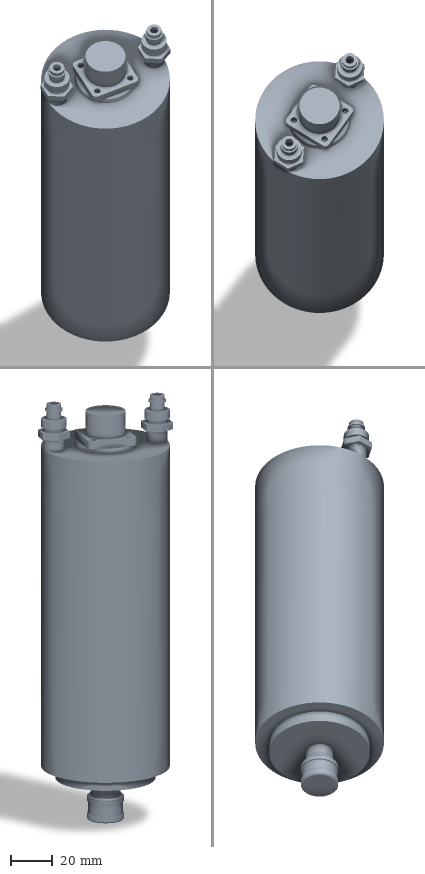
import cadquery as cq
import math

plate_bottom = 20.5
housing_bottom = 26.5
cap_bottom = 160.7
cap_top = 186.7
overall_height = 209.5

housing_diameter = 62.0
plate_diameter = 48.4

lower_stem_diameter = 13.2
lower_collar_diameter = 14.2
lower_rim_diameter = 18.0
lower_waist_diameter = 16.8
lower_collar_top = 14.2
lower_rim_top = 12.2
lower_waist_top = 9.5
lower_waist_bottom = 3.1
lower_rim_chamfer = 0.6

base_bottom_diameter = 30.0
base_top_diameter = 28.3
flange_width = 24.5
flange_corner_radius = 2.0
flange_bottom = 188.5
flange_top = 192.3
flange_hole_diameter = 3.1
flange_hole_spacing = 17.8
plug_diameter = 19.3
plug_top = 203.8

fitting_offset = 26.2
fitting_shaft_diameter = 9.8
fitting_collar_diameter = 12.2
fitting_tube_diameter = 7.1
tube_ring_diameter = 8.4
fitting_bore_diameter = 4.0
nut_across_flats = 13.6
washer_face_diameter = 10.3
washer_face_height = 0.5
nut_bottom = 192.7
nut_top = 196.0
fitting_collar_bottom = 198.0
fitting_collar_top = 202.2
tube_ring_bottom = 206.1
tube_ring_top = 207.2


def cylinder(diameter, bottom, top):
    """Upright cylinder on the Z axis between two levels."""
    return cq.Workplane("XY").workplane(offset=bottom).circle(diameter / 2).extrude(top - bottom)


def make_lower_connector():
    """Stem with a collar and a waisted round head pointing down."""
    stem = cylinder(lower_stem_diameter, lower_collar_top, plate_bottom)
    collar = cylinder(lower_collar_diameter, lower_rim_top, lower_collar_top)
    head = cylinder(lower_rim_diameter, 0, lower_rim_top).edges().chamfer(lower_rim_chamfer)
    waist_ring = cylinder(lower_rim_diameter, lower_waist_bottom, lower_waist_top).cut(
        cylinder(lower_waist_diameter, lower_waist_bottom, lower_waist_top)
    )
    return head.cut(waist_ring).union(collar).union(stem)


def make_upper_connector():
    """Conical base, square flange with corner holes and a solid plug."""
    base = (
        cq.Workplane("XY")
        .workplane(offset=cap_top)
        .circle(base_bottom_diameter / 2)
        .workplane(offset=flange_bottom - cap_top)
        .circle(base_top_diameter / 2)
        .loft(ruled=True)
    )
    flange = (
        cq.Workplane("XY")
        .workplane(offset=flange_bottom)
        .rect(flange_width, flange_width)
        .extrude(flange_top - flange_bottom)
        .edges("|Z")
        .fillet(flange_corner_radius)
        .faces(">Z")
        .workplane()
        .rect(flange_hole_spacing, flange_hole_spacing, forConstruction=True)
        .vertices()
        .hole(flange_hole_diameter)
    )
    plug = cylinder(plug_diameter, flange_top, plug_top)
    return base.union(flange).union(plug)


def make_nut():
    """Hexagon with corners along X and a thin round washer face above and below."""
    across_corners = nut_across_flats / math.cos(math.pi / 6)
    hexagon = (
        cq.Workplane("XY")
        .workplane(offset=nut_bottom)
        .polygon(6, across_corners)
        .extrude(nut_top - nut_bottom)
    )
    washer_faces = cylinder(
        washer_face_diameter, nut_bottom - washer_face_height, nut_top + washer_face_height
    )
    return hexagon.union(washer_faces)


def make_fitting(y_position):
    """Hose fitting with a nut, a collar, a ringed tube and a bore right through it."""
    fitting = (
        cylinder(fitting_shaft_diameter, cap_top, fitting_collar_bottom)
        .union(make_nut())
        .union(cylinder(fitting_collar_diameter, fitting_collar_bottom, fitting_collar_top))
        .union(cylinder(fitting_tube_diameter, fitting_collar_top, overall_height))
        .union(cylinder(tube_ring_diameter, tube_ring_bottom, tube_ring_top))
        .cut(cylinder(fitting_bore_diameter, cap_top, overall_height))
    )
    return fitting.translate((0, y_position, 0))


plate = cylinder(plate_diameter, plate_bottom, housing_bottom)
housing = cylinder(housing_diameter, housing_bottom, cap_bottom)
cap = cylinder(housing_diameter, cap_bottom, cap_top)
lower_connector = make_lower_connector()
upper_connector = make_upper_connector()
fittings = [make_fitting(side * fitting_offset) for side in (-1, 1)]

result = cq.Compound.makeCompound([
    plate.val(),
    housing.val(),
    cap.val(),
    lower_connector.val(),
    upper_connector.val(),
    *[fitting.val() for fitting in fittings],
])